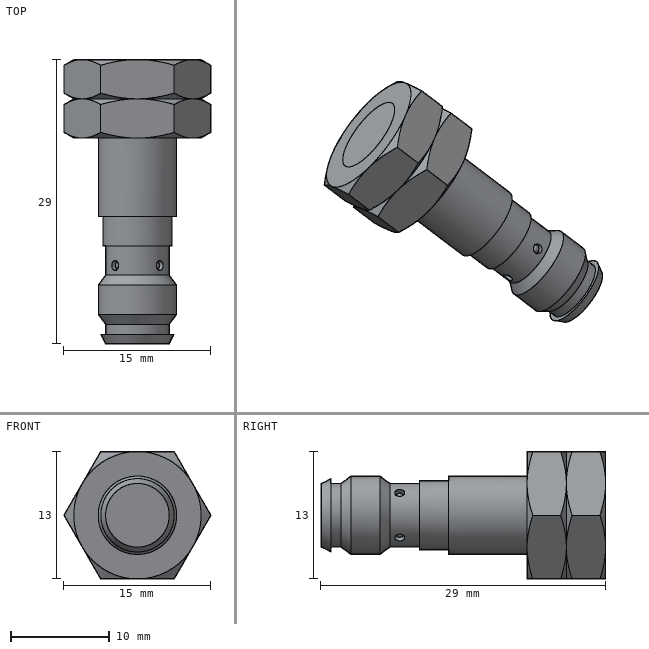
import cadquery as cq
import math

length = 29.0

across_flats = 13.0
across_corners = across_flats / math.cos(math.radians(30))
nut_thickness = 4.0
nut_count = 2
nut_chamfer_angle = 30.0

barrel_diameter = 8.0
shoulder_diameter = 7.08
neck_diameter = 6.5
lip_diameter = 7.48

lip_length = 1.0
groove_length = 1.02
collar_taper = 1.02
collar_length = 3.0
neck_length = 3.0
shoulder_length = 3.0

hole_diameter = 1.0
hole_depth = 0.75
hole_count = 4
hole_offset = 1.0
first_hole_angle = 45.0

tip = -length
lip_back = tip + lip_length
groove_back = lip_back + groove_length
collar_front = groove_back + collar_taper
collar_rear = collar_front + collar_length
neck_front = collar_rear + collar_taper
hole_station = neck_front + hole_offset
neck_rear = neck_front + neck_length
shoulder_rear = neck_rear + shoulder_length


def make_nut(back_y):
    """Hex nut with conically chamfered corners, running from back_y towards the tip."""
    hexagon = (
        cq.Workplane("XZ", origin=(0, back_y, 0))
        .polygon(6, across_corners)
        .circle(barrel_diameter / 2)
        .extrude(nut_thickness)
    )
    flat_radius = across_flats / 2
    envelope_radius = across_corners / 2 + 0.3
    cone_depth = (envelope_radius - flat_radius) * math.tan(math.radians(nut_chamfer_angle))
    front_y = back_y - nut_thickness
    envelope = (
        cq.Workplane("XY")
        .moveTo(0, back_y)
        .lineTo(flat_radius, back_y)
        .lineTo(envelope_radius, back_y - cone_depth)
        .lineTo(envelope_radius, front_y + cone_depth)
        .lineTo(flat_radius, front_y)
        .lineTo(0, front_y)
        .close()
        .revolve(360, (0, 0, 0), (0, 1, 0))
    )
    return hexagon.intersect(envelope)


def make_hole_cutter(angle):
    """Radial cylinder with a dome hollowed from its inner end, at the given angle about the Y axis."""
    hole_radius = hole_diameter / 2
    floor_radius = neck_diameter / 2 - hole_depth
    cylinder = (
        cq.Workplane("XY", origin=(0, hole_station, floor_radius))
        .circle(hole_radius)
        .extrude(2 * hole_depth)
    )
    lens = cq.Workplane("XY", origin=(0, hole_station, floor_radius)).sphere(hole_radius)
    cutter = cylinder.cut(lens)
    return cutter.rotate((0, 0, 0), (0, 1, 0), angle)


def make_sensor():
    """Solid turned body with a stepped barrel, collar, grooved tip and indicator holes."""
    body = (
        cq.Workplane("XY")
        .moveTo(0, tip)
        .lineTo(neck_diameter / 2, tip)
        .lineTo(lip_diameter / 2, lip_back)
        .lineTo(neck_diameter / 2, lip_back)
        .lineTo(neck_diameter / 2, groove_back)
        .lineTo(barrel_diameter / 2, collar_front)
        .lineTo(barrel_diameter / 2, collar_rear)
        .lineTo(neck_diameter / 2, neck_front)
        .lineTo(neck_diameter / 2, neck_rear)
        .lineTo(shoulder_diameter / 2, neck_rear)
        .lineTo(shoulder_diameter / 2, shoulder_rear)
        .lineTo(barrel_diameter / 2, shoulder_rear)
        .lineTo(barrel_diameter / 2, 0)
        .lineTo(0, 0)
        .close()
        .revolve(360, (0, 0, 0), (0, 1, 0))
    )
    for index in range(hole_count):
        angle = first_hole_angle + index * 360 / hole_count
        body = body.cut(make_hole_cutter(angle))
    return body


sensor = make_sensor()
nuts = [make_nut(-index * nut_thickness) for index in range(nut_count)]

result = cq.Compound.makeCompound([sensor.val(), *[nut.val() for nut in nuts]])